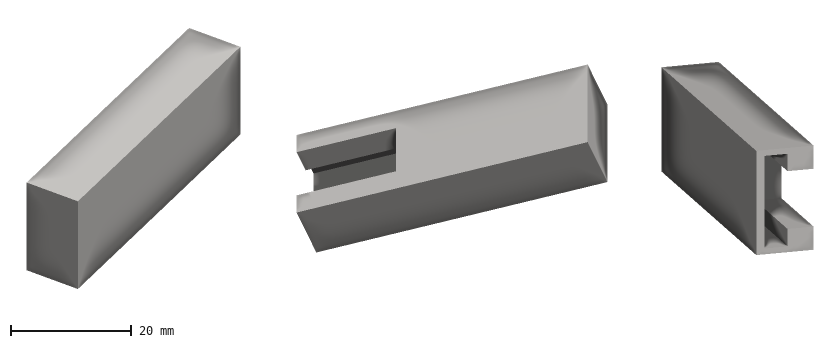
import cadquery as cq

width = 10.0
length = 51.0
height = 18.0

slot_length = 17.4
mouth_height = 10.0
lip_thickness = 4.55
undercut = 3.0
back_wall = 1.45

slot_depth = width - back_wall
wide_height = mouth_height + 2 * undercut
slot_face_x = -width / 2
slot_start_y = length / 2 - slot_length


def slot_channel(start_depth, end_depth, channel_height):
    """Channel between two depths below the -X face, open at the +Y end."""
    return (
        cq.Workplane("XY")
        .box(end_depth - start_depth, slot_length, channel_height, centered=(False, False, True))
        .translate((slot_face_x + start_depth, slot_start_y, 0))
    )


mouth = slot_channel(0, lip_thickness, mouth_height)
wide_channel = slot_channel(lip_thickness, slot_depth, wide_height)

block = cq.Workplane("XY").box(width, length, height)
result = block.cut(mouth).cut(wide_channel)